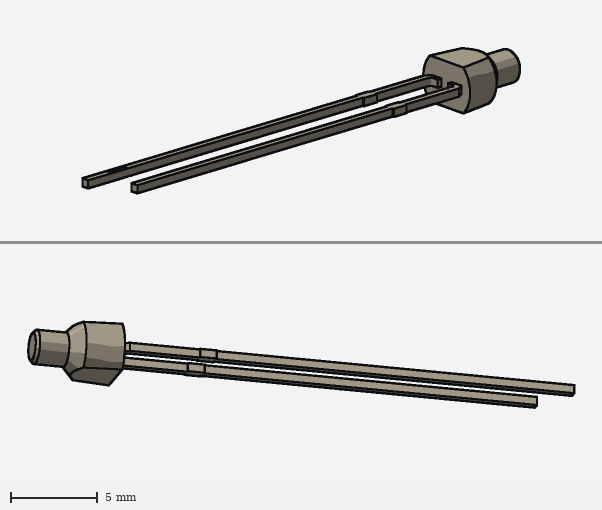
import cadquery as cq
import math

BODY_LENGTH = 5.0
BASE_RADIUS = 2.0
SHOULDER_RADIUS = 1.8
SHOULDER_Y = 2.25
NECK_RADIUS = 1.0
TIP_CHAMFER = 0.2
BODY_THICKNESS = 2.8

LEAD_PITCH = 2.54
LEAD_SIZE = 0.5
LONG_LEAD_LENGTH = 27.0
SHORT_LEAD_LENGTH = 25.5
FOOT_GAP = 0.86
FOOT_HEIGHT = 0.3
BEND_INNER_RADIUS = 0.2
BEND_CHAMFER_X = 0.25
BEND_CHAMFER_Y = 0.43
STOP_WIDTH = 0.7
STOP_START = 4.6
STOP_LENGTH = 1.0

MARK_WIDTH = 0.1
MARK_LENGTH = 1.3
MARK_DEPTH = 0.1
MARK_CENTER_FROM_TIP = 2.5


def make_body():
    """Turned body with a 45 degree shoulder cone, trimmed by two flats."""
    neck_start_y = SHOULDER_Y + SHOULDER_RADIUS - NECK_RADIUS
    turned = (
        cq.Workplane("XY")
        .polyline([
            (0, 0),
            (BASE_RADIUS, 0),
            (SHOULDER_RADIUS, SHOULDER_Y),
            (NECK_RADIUS, neck_start_y),
            (NECK_RADIUS, BODY_LENGTH - TIP_CHAMFER),
            (NECK_RADIUS - TIP_CHAMFER, BODY_LENGTH),
            (0, BODY_LENGTH),
        ])
        .close()
        .revolve(360, (0, 0, 0), (0, 1, 0))
    )
    slab = cq.Workplane("XY").box(2 * BASE_RADIUS, 2 * BODY_LENGTH, BODY_THICKNESS)
    return turned.intersect(slab)


def make_lead(side, length):
    """Lead on the given X side (-1 or +1): inward foot, straight wire and stop."""
    center_x = LEAD_PITCH / 2
    outer_x = center_x + LEAD_SIZE / 2
    inner_x = center_x - LEAD_SIZE / 2
    foot_x = FOOT_GAP / 2
    fillet_x = inner_x - BEND_INNER_RADIUS
    fillet_y = -FOOT_HEIGHT - BEND_INNER_RADIUS
    fillet_mid = (
        fillet_x + BEND_INNER_RADIUS * math.cos(math.pi / 4),
        fillet_y + BEND_INNER_RADIUS * math.sin(math.pi / 4),
    )
    wire = (
        cq.Workplane("XY")
        .moveTo(foot_x, 0)
        .lineTo(outer_x - BEND_CHAMFER_X, 0)
        .lineTo(outer_x, -BEND_CHAMFER_Y)
        .lineTo(outer_x, -length)
        .lineTo(inner_x, -length)
        .lineTo(inner_x, fillet_y)
        .threePointArc(fillet_mid, (fillet_x, -FOOT_HEIGHT))
        .lineTo(foot_x, -FOOT_HEIGHT)
        .close()
        .extrude(LEAD_SIZE / 2, both=True)
    )
    stop = (
        cq.Workplane("XY")
        .box(STOP_WIDTH, STOP_LENGTH, LEAD_SIZE)
        .translate((center_x, -STOP_START - STOP_LENGTH / 2, 0))
    )
    lead = wire.union(stop)
    return lead if side > 0 else lead.mirror("YZ")


def make_mark():
    """Cutter for the groove in the top face of the long lead."""
    return (
        cq.Workplane("XY")
        .box(MARK_WIDTH, MARK_LENGTH, 2 * MARK_DEPTH)
        .translate((-LEAD_PITCH / 2, MARK_CENTER_FROM_TIP - LONG_LEAD_LENGTH, LEAD_SIZE / 2))
    )


long_lead = make_lead(-1, LONG_LEAD_LENGTH).cut(make_mark())
short_lead = make_lead(1, SHORT_LEAD_LENGTH)
result = make_body().union(long_lead).union(short_lead)